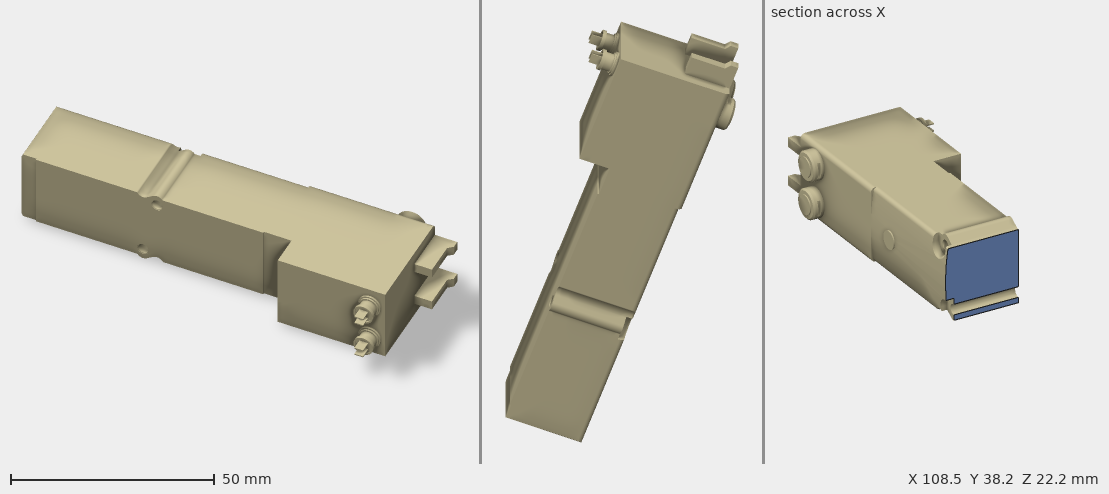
import cadquery as cq
import math

body_height = 20.5
half_height = body_height / 2
body_length = 102.4
overall_length = 108.5
back_y = 20.9

front_y = 0.38
raised_start = 4.0
raised_end = 65.8
block_start = 73.2
block_y = -7.5

cover_length = 68.7
crown_edge_y = 20.1
cover_fillet = 1.2
rear_fillet = 1.3
end_chamfer_x = 0.3
end_chamfer_z = 0.7

screw_x_top = 36.9
screw_x_bottom = 33.1
screw_z = 8.0
screw_hole_diameter = 2.8
screw_entry_diameter = 3.1
counterbore_diameter = 6.1
counterbore_floor_y = 18.5
neck_radius = 1.7
neck_blend_radius = 0.4
bump_peak_z = 11.1
recess_floor_z = 9.28
neck_middle_x = (screw_x_top + screw_x_bottom) / 2
recess_z = recess_floor_z + neck_radius
bump_z = bump_peak_z - neck_radius
recess_start = screw_x_bottom - math.sqrt(neck_radius**2 - (recess_z - half_height) ** 2)
bump_end = screw_x_top + math.sqrt(neck_radius**2 - (half_height - bump_z) ** 2)

port_z = 5.2
connector_x = 98.3
connector_steps = [
    (6.1, -8.0),
    (5.3, -8.5),
    (4.5, -10.6),
    (5.3, -11.5),
]
socket_diameter = 4.5
socket_depth = 0.4
pin_tip_y = -14.0
pin_width = 2.4
pin_thickness = 0.3
pin_spacing = 2.01

fitting_x = 95.0
fitting_diameter = 8.1
fitting_shoulder_y = 23.9
fitting_chamfer = 0.4
fitting_rim_diameter = 5.3
fitting_top_y = 24.2
window_bottom_y = 21.8
window_top_y = 22.7
window_offset = 3.5

button_x = 59.7
button_diameter = 5.0
button_top_y = 21.3

tab_z = 5.3
tab_thickness = 2.6
tab_bottom_y = 9.2
tab_face_x = 107.2
lip_ramp_y = 17.9
lip_bottom_y = 19.0


def box(x_start, x_end, y_start, y_end, z_start, z_end):
    """Box between the given limits."""
    size = (x_end - x_start, y_end - y_start, z_end - z_start)
    return cq.Workplane().box(*size, centered=False).translate((x_start, y_start, z_start))


def cylinder(x, z, diameter, y_start, y_end):
    """Cylinder along Y between two Y positions."""
    plane = cq.Workplane("XZ", origin=(x, y_start, z))
    return plane.circle(diameter / 2).extrude(y_start - y_end)


def make_cover():
    """Left stretch of the body, with a crowned back, rounded edges and a bevelled end."""
    cover = (
        cq.Workplane("YZ")
        .moveTo(front_y, -half_height)
        .lineTo(crown_edge_y, -half_height)
        .threePointArc((back_y, 0), (crown_edge_y, half_height))
        .lineTo(front_y, half_height)
        .close()
        .extrude(cover_length)
    )
    cover = cover.edges("|X").edges(">Y").fillet(cover_fillet)
    for side in (1, -1):
        bevel = (
            cq.Workplane("XZ")
            .moveTo(0, side * half_height)
            .lineTo(end_chamfer_x, side * half_height)
            .lineTo(0, side * (half_height - end_chamfer_z))
            .close()
            .extrude(-back_y)
        )
        cover = cover.cut(bevel)
    return cover


def make_body():
    """Cover, plain rear stretch, raised front pad and connector block."""
    rear = box(cover_length, body_length, front_y, back_y, -half_height, half_height)
    rear = rear.edges("|X").edges(">Y").fillet(rear_fillet)
    pad = box(raised_start, raised_end, 0, front_y, -half_height, half_height)
    block = box(block_start, body_length, block_y, front_y, -half_height, half_height)
    return make_cover().union(rear).union(pad).union(block)


def turned(shape):
    """The same shape turned half a turn about the Y axis through the middle of the neck."""
    return shape.rotate((neck_middle_x, 0, 0), (neck_middle_x, 1, 0), 180)


def turned_point(point):
    """The same point turned half a turn about the Y axis through the middle of the neck."""
    x, y, z = point
    return (2 * neck_middle_x - x, y, -z)


def neck_wave(edge_z):
    """Wave of recess and bump, joined by a common tangent and closed along the level edge_z."""
    run = screw_x_top - screw_x_bottom
    drop = recess_z - bump_z
    slope = math.asin(2 * neck_radius / math.hypot(run, drop)) - math.atan2(drop, run)
    tangent_x = neck_radius * math.sin(slope)
    tangent_z = neck_radius * math.cos(slope)
    return (
        cq.Workplane("XZ")
        .moveTo(recess_start, half_height)
        .threePointArc((screw_x_bottom, recess_floor_z), (screw_x_bottom + tangent_x, recess_z - tangent_z))
        .lineTo(screw_x_top - tangent_x, bump_z + tangent_z)
        .threePointArc((screw_x_top, bump_peak_z), (bump_end, half_height))
        .lineTo(bump_end, edge_z)
        .lineTo(recess_start, edge_z)
        .close()
    )


def make_counterbore():
    """U-shaped counterbore at the back of the upper screw, open towards the top."""
    bore = cylinder(screw_x_top, screw_z, counterbore_diameter, counterbore_floor_y, back_y)
    radius = counterbore_diameter / 2
    left, right = screw_x_top - radius, screw_x_top + radius
    return bore.union(box(left, right, counterbore_floor_y, back_y, screw_z, bump_peak_z))


def add_neck(body):
    """Shape both sides of the neck and drill the two screw holes, whose counterbores open sideways."""
    bump = neck_wave(screw_z).extrude(-counterbore_floor_y)
    recess = neck_wave(bump_peak_z + neck_radius).extrude(-back_y)
    body = body.union(bump).cut(recess)
    body = body.union(turned(bump)).cut(turned(recess))
    for x in (recess_start, bump_end):
        for place in (lambda point: point, turned_point):
            edge = cq.selectors.NearestToPointSelector(place((x, counterbore_floor_y / 2, half_height)))
            body = body.edges("|Y").edges(edge).fillet(neck_blend_radius)

    entry_depth = (screw_entry_diameter - screw_hole_diameter) / 2
    hole = cylinder(screw_x_top, screw_z, screw_hole_diameter, 0, back_y)
    entry = cylinder(screw_x_top, screw_z, screw_entry_diameter, 0, entry_depth)
    drill = hole.union(entry).union(make_counterbore())
    return body.cut(drill).cut(turned(drill))


def make_connector(z):
    """Stepped round connector with two flat pins in a shallow socket, pointing to -Y."""
    connector = cq.Workplane()
    start_y = block_y
    for diameter, end_y in connector_steps:
        connector = connector.add(cylinder(connector_x, z, diameter, start_y, end_y))
        start_y = end_y
    socket = cylinder(connector_x, z, socket_diameter, start_y + socket_depth, start_y)
    connector = connector.combine().cut(socket)
    for side in (1, -1):
        pin_z = z + side * pin_spacing / 2
        pin = box(
            connector_x - pin_width / 2,
            connector_x + pin_width / 2,
            pin_tip_y,
            start_y + socket_depth,
            pin_z - pin_thickness / 2,
            pin_z + pin_thickness / 2,
        )
        connector = connector.union(pin)
    return connector


def make_fitting(z):
    """Round fitting on the back, with a raised rim and a flat window on each side."""
    fitting = cylinder(fitting_x, z, fitting_diameter, crown_edge_y, fitting_shoulder_y)
    fitting = fitting.faces(">Y").edges().chamfer(fitting_chamfer)
    fitting = fitting.union(cylinder(fitting_x, z, fitting_rim_diameter, fitting_shoulder_y, fitting_top_y))
    radius = fitting_diameter / 2
    for side in (1, -1):
        near, far = sorted((side * window_offset, side * radius))
        window = box(fitting_x + near, fitting_x + far, window_bottom_y, window_top_y, z - radius, z + radius)
        fitting = fitting.cut(window)
    return fitting


def make_tab(z):
    """Latch tab with a ramped lip at its back corner."""
    return (
        cq.Workplane("XY", origin=(0, 0, z - tab_thickness / 2))
        .moveTo(body_length, tab_bottom_y)
        .lineTo(tab_face_x, tab_bottom_y)
        .lineTo(tab_face_x, lip_ramp_y)
        .lineTo(overall_length, lip_bottom_y)
        .lineTo(overall_length, back_y)
        .lineTo(body_length, back_y)
        .close()
        .extrude(tab_thickness)
    )


result = add_neck(make_body())
for side in (1, -1):
    result = result.union(make_connector(side * port_z))
    result = result.union(make_fitting(side * port_z))
    result = result.union(make_tab(side * tab_z))
result = result.union(cylinder(button_x, 0, button_diameter, crown_edge_y, button_top_y))